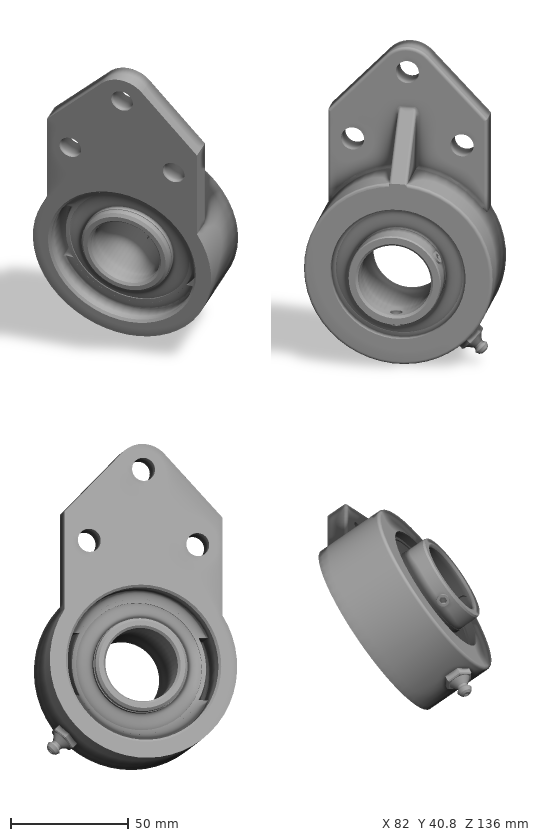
import cadquery as cq
import math


housing_radius = 41.0
housing_depth = 32.0
edge_radius = 1.3

plate_half_width = 34.5
plate_thickness = 10.0
plate_shoulder_z = 64.5
plate_top_z = 95.0
plate_tip_radius = 12.6

mounting_hole_diameter = 10.0
upper_hole_z = 84.0
lower_hole_x = 23.75
lower_hole_z = 52.3

rib_width = 8.0
rib_top_z = 68.0

bearing_center_y = 18.6
seat_diameter = 62.02
outer_ring_width = 20.0
outer_ring_bore = 55.12
inner_ring_front_y = 2.7
inner_ring_back_y = 40.8
inner_ring_diameter = 40.28
bore_diameter = 31.75
bore_chamfer = 1.0
front_chamfer = 1.2
collar_chamfer_length = 0.9
collar_chamfer_depth = 0.4

recess_diameter = 66.02
recess_edge = 1.0
slot_width = 27.0

seal_thickness = 1.5
seal_setback = 0.5
seal_lip_diameter = 40.79
seal_lip_height = 2.1

screw_diameter = 5.36
screw_setback = 5.0
screw_angles = (150.0, 270.0)
screw_outer_radius = 21.0
screw_inner_radius = 16.4
socket_across_flats = 3.0
socket_depth = 2.0

fitting_angle = 225.0
fitting_y = 22.0
hex_across_flats = 11.0
hex_base_height = 40.0
hex_top_height = 43.7
hex_chamfer = 0.5
cone_base_diameter = 9.4
neck_diameter = 4.8
neck_start_height = 46.4
neck_end_height = 47.3
head_diameter = 6.6
head_widest_height = 48.4
head_shoulder_diameter = 5.2
head_shoulder_height = 50.0
tip_diameter = 3.4
tip_height = 50.7
tip_hole_diameter = 2.0
tip_hole_depth = 1.0

ring_front_y = bearing_center_y - outer_ring_width / 2
ring_back_y = bearing_center_y + outer_ring_width / 2
seat_radius = seat_diameter / 2
seat_edge_radius = math.sqrt(seat_radius**2 - (outer_ring_width / 2) ** 2)
recess_radius = recess_diameter / 2
screw_y = inner_ring_back_y - screw_setback
hex_corner_ratio = 1 / math.cos(math.pi / 6)
face_margin = 0.1


def turned(profile):
    """Revolves a closed (radius, y) outline about the bearing axis."""
    return cq.Workplane("XY").polyline(profile).close().revolve(360, (0, 0, 0), (0, 1, 0))


def disc(radius, start_y, end_y):
    """Cylinder on the bearing axis between two Y positions."""
    return cq.Workplane("XZ", origin=(0, start_y, 0)).circle(radius).extrude(start_y - end_y)


def radial_direction(angle):
    """Unit vector square to the bearing axis, at an angle from +X towards +Z."""
    return cq.Vector(math.cos(math.radians(angle)), 0, math.sin(math.radians(angle)))


def radial_plane(angle, y):
    """Plane through the bearing axis whose normal points outwards at an angle."""
    return cq.Plane(origin=(0, y, 0), xDir=(0, 1, 0), normal=radial_direction(angle))


def at_plate_back(half_width, lowest_z, highest_z):
    """Selector for edges centred on the back face of the plate within a window."""
    return cq.selectors.BoxSelector(
        (-half_width, plate_thickness - face_margin, lowest_z),
        (half_width, plate_thickness + face_margin, highest_z),
    )


def make_ball_zone():
    """Barrel: the seat sphere cut to the width of the outer ring."""
    return (
        cq.Workplane("XY")
        .moveTo(0, ring_front_y)
        .lineTo(seat_edge_radius, ring_front_y)
        .threePointArc((seat_radius, bearing_center_y), (seat_edge_radius, ring_back_y))
        .lineTo(0, ring_back_y)
        .close()
        .revolve(360, (0, 0, 0), (0, 1, 0))
    )


def make_plate():
    """Mounting plate: straight flanks, sloped shoulders and a round tip tangent to them."""
    tip_center_z = plate_top_z - plate_tip_radius
    rise = tip_center_z - plate_shoulder_z
    shoulder_distance = math.hypot(plate_half_width, rise)
    tangent_angle = math.acos(plate_tip_radius / shoulder_distance) - math.atan2(rise, plate_half_width)
    tangent_x = plate_tip_radius * math.cos(tangent_angle)
    tangent_z = tip_center_z + plate_tip_radius * math.sin(tangent_angle)
    return (
        cq.Workplane("XZ")
        .moveTo(-plate_half_width, 0)
        .lineTo(-plate_half_width, plate_shoulder_z)
        .lineTo(-tangent_x, tangent_z)
        .threePointArc((0, plate_top_z), (tangent_x, tangent_z))
        .lineTo(plate_half_width, plate_shoulder_z)
        .lineTo(plate_half_width, 0)
        .close()
        .extrude(-plate_thickness)
    )


def make_rib():
    """Sloped rib with rounded edges, standing on a strip of the plate with rounded inner corners."""
    root_z = housing_radius / 2
    rib = (
        cq.Workplane("YZ", origin=(-rib_width / 2, 0, 0))
        .moveTo(0, root_z)
        .lineTo(housing_depth, root_z)
        .lineTo(housing_depth, housing_radius)
        .lineTo(plate_thickness, rib_top_z)
        .lineTo(0, rib_top_z)
        .close()
        .extrude(rib_width)
    )
    slope_middle_y = (housing_depth + plate_thickness) / 2
    slope_middle_z = (housing_radius + rib_top_z) / 2
    slope_edges = cq.selectors.BoxSelector(
        (-rib_width, slope_middle_y - 1, slope_middle_z - 1),
        (rib_width, slope_middle_y + 1, slope_middle_z + 1),
    )
    rib = rib.edges(slope_edges).fillet(edge_radius)
    strip = cq.Workplane("XY").box(
        3 * rib_width, plate_thickness, rib_top_z + 2 * edge_radius, centered=(True, False, False)
    )
    foot = at_plate_back(rib_width / 2 + face_margin, root_z + 1, rib_top_z - edge_radius)
    return strip.union(rib).edges(foot).fillet(edge_radius)


def make_recess():
    """Front recess: chamfered mouth and a rounded floor corner."""
    mouth_radius = recess_radius + recess_edge
    mouth = turned([(0, 0), (mouth_radius, 0), (recess_radius, recess_edge), (0, recess_edge)])
    return disc(recess_radius, 0, ring_front_y).faces(">Y").edges().fillet(recess_edge).union(mouth)


def make_loading_slots():
    """Two opposite slots that deepen the recess to the middle of the seat, with rounded floor edges."""
    bar = cq.Workplane("XY").box(2 * housing_radius, 2 * housing_depth, slot_width)
    slots = disc(recess_radius, recess_edge, bearing_center_y).intersect(bar)
    return slots.faces(">Y").edges().fillet(recess_edge)


def make_seat():
    """Spherical seat for the outer ring, open at the back through a plain bore."""
    return make_ball_zone().union(disc(seat_edge_radius, ring_back_y, housing_depth))


def make_housing():
    """Cast housing: round body, plate and rib, hollowed for the insert bearing."""
    body = disc(housing_radius, 0, housing_depth).faces(">Y").edges().fillet(edge_radius)
    plate_back = at_plate_back(housing_radius, 0, plate_top_z)
    body = body.union(make_plate()).edges(plate_back).fillet(edge_radius).union(make_rib())
    for x, z in ((0, upper_hole_z), (-lower_hole_x, lower_hole_z), (lower_hole_x, lower_hole_z)):
        hole = cq.Workplane("XZ").center(x, z).circle(mounting_hole_diameter / 2)
        body = body.cut(hole.extrude(-plate_thickness))
    return body.cut(make_recess()).cut(make_loading_slots()).cut(make_seat())


def make_outer_ring():
    """Outer ring with a spherical outside."""
    return make_ball_zone().cut(disc(outer_ring_bore / 2, ring_front_y, ring_back_y))


def make_inner_ring():
    """Inner ring with its long collar at the back, drilled for the set screws."""
    outside = inner_ring_diameter / 2
    bore = bore_diameter / 2
    ring = turned(
        [
            (bore + bore_chamfer, inner_ring_front_y),
            (outside - front_chamfer, inner_ring_front_y),
            (outside, inner_ring_front_y + front_chamfer),
            (outside, inner_ring_back_y - collar_chamfer_length),
            (outside - collar_chamfer_depth, inner_ring_back_y),
            (bore + bore_chamfer, inner_ring_back_y),
            (bore, inner_ring_back_y - bore_chamfer),
            (bore, inner_ring_front_y + bore_chamfer),
        ]
    )
    for angle in screw_angles:
        screw_hole = cq.Workplane(radial_plane(angle, screw_y)).circle(screw_diameter / 2)
        ring = ring.cut(screw_hole.extrude(inner_ring_diameter))
    return ring


def make_front_seal():
    """Slightly coned seal with a thin lip around the inner ring."""
    inner = inner_ring_diameter / 2
    lip = seal_lip_diameter / 2
    outer = outer_ring_bore / 2
    rim_y = ring_front_y + seal_setback
    lip_y = ring_front_y - seal_lip_height
    return turned(
        [
            (inner, lip_y),
            (lip, lip_y),
            (lip, ring_front_y),
            (outer, rim_y),
            (outer, rim_y + seal_thickness),
            (inner, rim_y + seal_thickness),
        ]
    )


def make_set_screw(angle):
    """Set screw with a hexagon socket in its outer end."""
    return (
        cq.Workplane(radial_plane(angle, screw_y))
        .workplane(offset=screw_inner_radius)
        .circle(screw_diameter / 2)
        .extrude(screw_outer_radius - screw_inner_radius)
        .faces(cq.DirectionMinMaxSelector(radial_direction(angle)))
        .workplane()
        .polygon(6, socket_across_flats * hex_corner_ratio)
        .cutBlind(-socket_depth)
    )


def make_grease_fitting():
    """Grease fitting: hexagon, tapered neck, and a tapered head with a tip hole."""
    hexagon = (
        cq.Workplane(radial_plane(fitting_angle, fitting_y))
        .workplane(offset=hex_base_height)
        .polygon(6, hex_across_flats * hex_corner_ratio)
        .extrude(hex_top_height - hex_base_height)
        .faces(cq.DirectionMinMaxSelector(radial_direction(fitting_angle)))
        .edges()
        .chamfer(hex_chamfer)
    )
    stem_outline = [
        (0, hex_top_height),
        (cone_base_diameter / 2, hex_top_height),
        (neck_diameter / 2, neck_start_height),
        (neck_diameter / 2, neck_end_height),
        (head_diameter / 2, head_widest_height),
        (head_shoulder_diameter / 2, head_shoulder_height),
        (tip_diameter / 2, tip_height),
        (tip_hole_diameter / 2, tip_height),
        (tip_hole_diameter / 2, tip_height - tip_hole_depth),
        (0, tip_height - tip_hole_depth),
    ]
    stem_plane = cq.Plane(
        origin=(0, fitting_y, 0), xDir=(0, 1, 0), normal=radial_direction(fitting_angle - 90)
    )
    stem = cq.Workplane(stem_plane).polyline(stem_outline).close().revolve(360, (0, 0), (0, 1))
    return hexagon.union(stem)


grease_fitting = make_grease_fitting()
housing = make_housing().cut(grease_fitting)
outer_ring = make_outer_ring()
inner_ring = make_inner_ring()
front_seal = make_front_seal()
back_seal = front_seal.mirror("XZ", (0, bearing_center_y, 0))
set_screws = [make_set_screw(angle) for angle in screw_angles]

result = cq.Compound.makeCompound(
    [
        housing.val(),
        outer_ring.val(),
        inner_ring.val(),
        front_seal.val(),
        back_seal.val(),
        *[screw.val() for screw in set_screws],
        grease_fitting.val(),
    ]
)